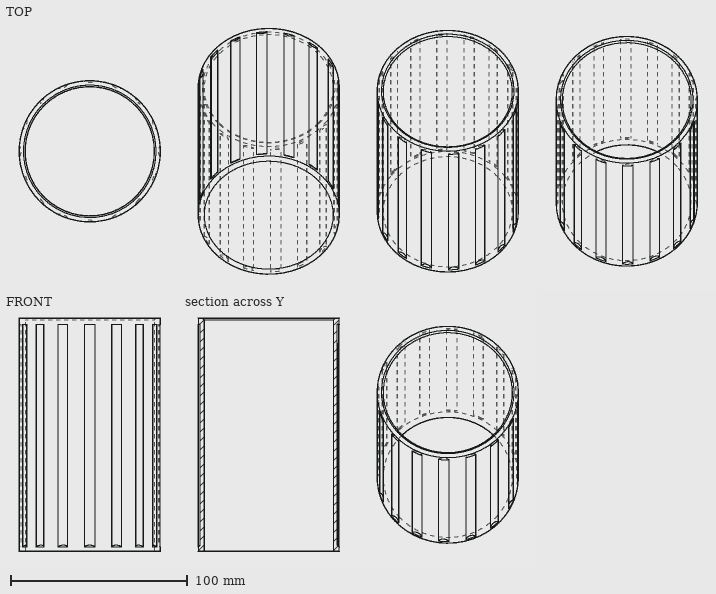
import cadquery as cq

outer_diameter = 80.0
bore_diameter = 73.0
height = 132.0
mouth_chamfer = 1.0

groove_count = 16
groove_mouth_width = 6.2
groove_floor_width = 5.8
groove_wall_depth = 0.4
groove_floor_depth = 1.1
groove_bottom_z = 2.5
groove_top_gap = 3.5

outer_radius = outer_diameter / 2
groove_length = height - groove_top_gap - groove_bottom_z
cutter_overhang = 1.0


def make_tube():
    tube = cq.Workplane("XY").circle(outer_radius).circle(bore_diameter / 2).extrude(height)
    bore_edge = cq.selectors.RadiusNthSelector(0)
    return tube.faces(">Z").edges(bore_edge).chamfer(mouth_chamfer)


def make_groove_cutter():
    """Groove on the +X side: splayed walls, concave floor, flat top end, 45 degree conical bottom end."""
    half_mouth = groove_mouth_width / 2
    half_floor = groove_floor_width / 2
    outside_x = outer_radius + cutter_overhang
    wall_x = outer_radius - groove_wall_depth
    floor_x = outer_radius - groove_floor_depth
    groove = (
        cq.Workplane("XY", origin=(0, 0, groove_bottom_z))
        .moveTo(outside_x, -half_mouth)
        .lineTo(outer_radius, -half_mouth)
        .lineTo(wall_x, -half_floor)
        .threePointArc((floor_x, 0), (wall_x, half_floor))
        .lineTo(outer_radius, half_mouth)
        .lineTo(outside_x, half_mouth)
        .close()
        .extrude(groove_length)
    )
    ramp = (
        cq.Workplane("XZ")
        .moveTo(outer_radius, groove_bottom_z)
        .lineTo(floor_x, groove_bottom_z)
        .lineTo(floor_x, groove_bottom_z + groove_floor_depth)
        .close()
        .revolve(360, (0, 0, 0), (0, 1, 0))
    )
    return groove.cut(ramp)


def cut_grooves(tube):
    cutter = make_groove_cutter()
    angle_step = 360 / groove_count
    for index in range(groove_count):
        tube = tube.cut(cutter.rotate((0, 0, 0), (0, 0, 1), index * angle_step))
    return tube


result = cut_grooves(make_tube())